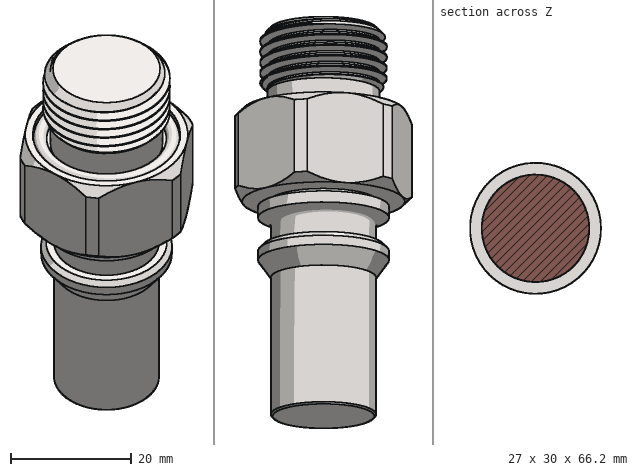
import cadquery as cq
import math

TOTAL_HEIGHT = 66.2
SHOULDER_START_Z = 23.7
SHOULDER_CYLINDER_Z = 26.7
SHOULDER_TOP_Z = 29.1
COLLAR_BOTTOM_Z = 33.95
COLLAR_TOP_Z = 35.85
HEX_BOTTOM_Z = 36.75
HEX_TOP_Z = 52.15
NECK_TOP_Z = 55.6

TUBE_RADIUS = 8.75
TUBE_END_CHAMFER = 0.3
FLANGE_RADIUS = 10.9
SHOULDER_CHAMFER = 0.85
COLLAR_SLOPE_ANGLE = 22.0
COLLAR_FILLET_RADIUS = 0.9
HEX_NECK_RADIUS = 8.95

HEX_SIDES = 6
HEX_ACROSS_FLATS = 27.0
HEX_CORNER_RADIUS = 15.0
HEX_CHAMFER = 1.5

GROOVE_OUTER_RADIUS = 12.25
RING_CENTRE_RADIUS = 11.05
RING_SECTION_RADIUS = 1.1
RING_STAND_OUT = 0.2
RING_SEAT_OVERLAP = 0.1

THREAD_CORE_RADIUS = 9.32
THREAD_CREST_RADIUS = 10.55
THREAD_PITCH = 1.814
THREAD_FLANK_ANGLE = 55.0
THREAD_CREST_WIDTH = 0.2
THREAD_ROOT_OVERLAP = 0.15
THREAD_BLANK_MARGIN = 0.15
THREAD_RUNOUT_HEIGHT = 1.4
THREAD_TOP_RADIUS = 8.9
THREAD_CREST_Z = 63.78


def revolve_profile(points):
    """Revolve a closed (radius, z) outline about the Z axis."""
    return cq.Workplane("XZ").polyline(points).close().revolve(360, (0, 0, 0), (0, 1, 0))


def make_plug():
    """Stepped tube from the free end up to the underside of the hexagon."""
    turn = math.radians(90 - COLLAR_SLOPE_ANGLE)
    fillet_end_radius = TUBE_RADIUS + COLLAR_FILLET_RADIUS * (1 - math.cos(turn))
    slope_rise = (FLANGE_RADIUS - fillet_end_radius) * math.tan(math.radians(COLLAR_SLOPE_ANGLE))
    fillet_end_z = COLLAR_BOTTOM_Z - slope_rise
    fillet_start_z = fillet_end_z - COLLAR_FILLET_RADIUS * math.sin(turn)

    outline = (
        cq.Workplane("XZ")
        .moveTo(0, 0)
        .lineTo(TUBE_RADIUS - TUBE_END_CHAMFER, 0)
        .lineTo(TUBE_RADIUS, TUBE_END_CHAMFER)
        .lineTo(TUBE_RADIUS, SHOULDER_START_Z)
        .lineTo(FLANGE_RADIUS, SHOULDER_CYLINDER_Z)
        .lineTo(FLANGE_RADIUS, SHOULDER_TOP_Z - SHOULDER_CHAMFER)
        .lineTo(FLANGE_RADIUS - SHOULDER_CHAMFER, SHOULDER_TOP_Z)
        .lineTo(TUBE_RADIUS, SHOULDER_TOP_Z)
        .lineTo(TUBE_RADIUS, fillet_start_z)
        .tangentArcPoint((fillet_end_radius, fillet_end_z), relative=False)
        .lineTo(FLANGE_RADIUS, COLLAR_BOTTOM_Z)
        .lineTo(FLANGE_RADIUS, COLLAR_TOP_Z)
        .lineTo(HEX_NECK_RADIUS, COLLAR_TOP_Z)
        .lineTo(HEX_NECK_RADIUS, HEX_BOTTOM_Z)
        .lineTo(0, HEX_BOTTOM_Z)
        .close()
    )
    return outline.revolve(360, (0, 0, 0), (0, 1, 0))


def make_hexagon():
    """Hexagon with flats on +/-X, rounded corners, chamfered ends and a ring groove."""
    height = HEX_TOP_Z - HEX_BOTTOM_Z
    across_corners = HEX_ACROSS_FLATS / math.cos(math.pi / HEX_SIDES)
    prism = (
        cq.Workplane("XY", origin=(0, 0, HEX_BOTTOM_Z))
        .transformed(rotate=(0, 0, 180 / HEX_SIDES))
        .polygon(HEX_SIDES, across_corners)
        .extrude(height)
    )
    envelope = (
        cq.Workplane("XY", origin=(0, 0, HEX_BOTTOM_Z))
        .circle(HEX_CORNER_RADIUS)
        .extrude(height)
        .edges()
        .chamfer(HEX_CHAMFER)
    )
    groove_depth = 2 * RING_SECTION_RADIUS - RING_STAND_OUT - RING_SEAT_OVERLAP
    groove = (
        cq.Workplane("XY", origin=(0, 0, HEX_TOP_Z - groove_depth))
        .circle(GROOVE_OUTER_RADIUS)
        .circle(THREAD_CORE_RADIUS)
        .extrude(groove_depth)
    )
    return prism.intersect(envelope).cut(groove)


def make_ring():
    """O-ring standing slightly proud of the hexagon."""
    centre_z = HEX_TOP_Z + RING_STAND_OUT - RING_SECTION_RADIUS
    return cq.Workplane("XY").add(
        cq.Solid.makeTorus(RING_CENTRE_RADIUS, RING_SECTION_RADIUS, cq.Vector(0, 0, centre_z))
    )


def make_neck():
    """Plain core of the thread, chamfered at the free end."""
    outline = [
        (0, HEX_TOP_Z),
        (THREAD_CORE_RADIUS, HEX_TOP_Z),
        (THREAD_CORE_RADIUS, TOTAL_HEIGHT - (THREAD_CORE_RADIUS - THREAD_TOP_RADIUS)),
        (THREAD_TOP_RADIUS, TOTAL_HEIGHT),
        (0, TOTAL_HEIGHT),
    ]
    return revolve_profile(outline)


def make_thread():
    """Helical ridge, trimmed by a run-out cone below and a 45 degree chamfer above."""
    pitches_below = math.ceil((THREAD_CREST_Z - NECK_TOP_Z) / THREAD_PITCH) + 1
    pitches_above = math.ceil((TOTAL_HEIGHT - THREAD_CREST_Z) / THREAD_PITCH) + 1
    start_z = THREAD_CREST_Z - pitches_below * THREAD_PITCH
    length = (pitches_below + pitches_above) * THREAD_PITCH

    root_radius = THREAD_CORE_RADIUS - THREAD_ROOT_OVERLAP
    half_crest = THREAD_CREST_WIDTH / 2
    flank_rise = math.tan(math.radians(THREAD_FLANK_ANGLE / 2))
    half_root = half_crest + (THREAD_CREST_RADIUS - root_radius) * flank_rise

    helix = cq.Wire.makeHelix(THREAD_PITCH, length, root_radius)
    ridge = (
        cq.Workplane("XZ")
        .polyline(
            [
                (root_radius, -half_root),
                (THREAD_CREST_RADIUS, -half_crest),
                (THREAD_CREST_RADIUS, half_crest),
                (root_radius, half_root),
            ]
        )
        .close()
        .sweep(cq.Workplane("XY").add(helix), isFrenet=True)
        .translate((0, 0, start_z))
    )
    blank_radius = THREAD_CREST_RADIUS + THREAD_BLANK_MARGIN
    runout_slope = THREAD_RUNOUT_HEIGHT / (THREAD_CREST_RADIUS - THREAD_CORE_RADIUS)
    blank = revolve_profile(
        [
            (0, NECK_TOP_Z),
            (THREAD_CORE_RADIUS, NECK_TOP_Z),
            (blank_radius, NECK_TOP_Z + (blank_radius - THREAD_CORE_RADIUS) * runout_slope),
            (blank_radius, TOTAL_HEIGHT - (blank_radius - THREAD_TOP_RADIUS)),
            (THREAD_TOP_RADIUS, TOTAL_HEIGHT),
            (0, TOTAL_HEIGHT),
        ]
    )
    return ridge.intersect(blank)


result = make_plug().union(make_hexagon()).union(make_ring()).union(make_neck()).union(make_thread())